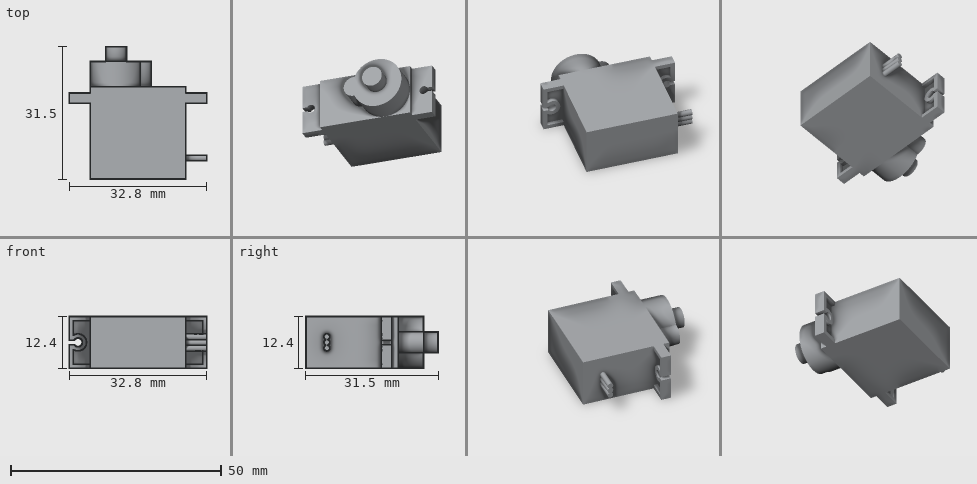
import cadquery as cq

total_width = 32.8
total_depth = 31.5
height = 12.4

tab_length = 5.02
case_width = total_width - 2 * tab_length
case_depth = 22.0

tab_back_y = 18.0
tab_thickness = 2.5
rim = 1.02
recess_depth = 1.02
screw_inset = 2.13
screw_radius = 1.02
boss_radius = 2.05
slot_width = 1.02

housing_radius = height / 2
housing_depth = 6.0
shaft_radius = 2.5
shaft_x = -case_width / 2 + housing_radius
side_gear_radius = 2.5
side_gear_offset = 5.9

wire_radius = 0.705
wire_pitch = 1.35
wire_y = 5.02
wire_count = 3


def cylinder_along_y(x, radius, y_start, y_end):
    plane = cq.Plane(origin=(x, y_start, 0), xDir=(1, 0, 0), normal=(0, 1, 0))
    return cq.Workplane(plane).circle(radius).extrude(y_end - y_start)


def box_between(x_start, x_end, y_start, y_end, z_size):
    block = cq.Workplane("XY").box(x_end - x_start, y_end - y_start, z_size)
    return block.translate(((x_start + x_end) / 2, (y_start + y_end) / 2, 0))


def left_tab():
    """Tab with a rimmed recess in its back and an open-ended screw hole."""
    outer_x = -total_width / 2
    inner_x = -case_width / 2
    screw_x = outer_x + screw_inset
    tab_front_y = tab_back_y + tab_thickness
    tab = box_between(outer_x, inner_x, tab_back_y, tab_front_y, height)
    recess = box_between(
        outer_x + rim, inner_x, tab_back_y, tab_back_y + recess_depth, height - 2 * rim
    )
    boss = cylinder_along_y(screw_x, boss_radius, tab_back_y, tab_front_y)
    hole = cylinder_along_y(screw_x, screw_radius, tab_back_y, tab_front_y)
    slot = box_between(outer_x, screw_x, tab_back_y, tab_front_y, slot_width)
    return tab.cut(recess.cut(boss)).cut(hole).cut(slot)


def gear_housing():
    """Round housing with a smaller side bulge, topped by the output shaft."""
    housing_front_y = case_depth + housing_depth
    housing = cylinder_along_y(shaft_x, housing_radius, case_depth, housing_front_y)
    bulge = cylinder_along_y(
        shaft_x + side_gear_offset, side_gear_radius, case_depth, housing_front_y
    )
    shaft = cylinder_along_y(shaft_x, shaft_radius, case_depth, total_depth)
    return housing.union(bulge).union(shaft)


def wire(z):
    plane = cq.Workplane("YZ", origin=(case_width / 2, wire_y, z))
    return plane.circle(wire_radius).extrude(tab_length)


tab = left_tab()
result = box_between(-case_width / 2, case_width / 2, 0, case_depth, height)
result = result.union(tab).union(tab.mirror("YZ")).union(gear_housing())
for index in range(wire_count):
    result = result.union(wire((index - (wire_count - 1) / 2) * wire_pitch))